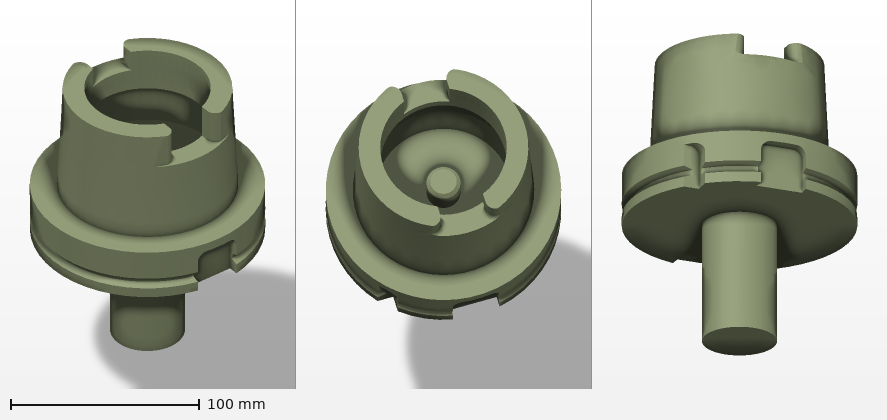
import cadquery as cq
import math

total_height = 157.9
shank_height = 66.0
flange_height = 29.0
flange_top = shank_height + flange_height

shank_diameter = 40.0
flange_diameter = 124.9
flange_radius = flange_diameter / 2

taper_base_radius = 48.2
taper_top_radius = 45.0

groove_diameter = 117.2
groove_top_depth = 17.0
groove_bottom_depth = 23.4
groove_flank_height = 1.6

bore_diameter = 67.1
bore_lip_height = 24.6
undercut_diameter = 80.0
bore_depth = 65.7
floor_cone_width = 4.0
floor_cone_height = 15.8

boss_diameter = 18.0
boss_top_diameter = 14.0
boss_height = 15.8

drive_slot_width = 25.1
drive_flat_offset = 41.2
drive_corner_radius = 5.2
shallow_slot_depth = 12.0
flat_half_length = 25.6
deep_flat_end_offset = 38.4
deep_slot_depth = 19.0
shallow_floor_fillet = 2.4

key_slot_width = 25.7
key_slot_floor = 55.5
key_corner_radius = 5.5
key_slot_top = flange_top - 5.0
index_floor = 39.6
index_wall = 39.6


def revolved_body():
    flank_outer_top = flange_top - groove_top_depth
    flank_outer_bottom = flange_top - groove_bottom_depth
    return (
        cq.Workplane("XZ")
        .lineTo(shank_diameter / 2, 0)
        .lineTo(shank_diameter / 2, shank_height)
        .lineTo(flange_radius, shank_height)
        .lineTo(flange_radius, flank_outer_bottom)
        .lineTo(groove_diameter / 2, flank_outer_bottom + groove_flank_height)
        .lineTo(groove_diameter / 2, flank_outer_top - groove_flank_height)
        .lineTo(flange_radius, flank_outer_top)
        .lineTo(flange_radius, flange_top)
        .lineTo(taper_base_radius, flange_top)
        .lineTo(taper_top_radius, total_height)
        .lineTo(0, total_height)
        .close()
        .revolve(360, (0, 0, 0), (0, 1, 0))
    )


def stepped_bore():
    """Bore space around the central boss."""
    floor = total_height - bore_depth
    boss_top = floor + boss_height
    boss_chamfer = (boss_diameter - boss_top_diameter) / 2
    lip_bottom = total_height - bore_lip_height
    return (
        cq.Workplane("XZ")
        .moveTo(boss_diameter / 2, floor)
        .lineTo(undercut_diameter / 2 - floor_cone_width, floor)
        .lineTo(undercut_diameter / 2, floor + floor_cone_height)
        .lineTo(undercut_diameter / 2, lip_bottom)
        .lineTo(bore_diameter / 2, lip_bottom)
        .lineTo(bore_diameter / 2, total_height)
        .lineTo(0, total_height)
        .lineTo(0, boss_top)
        .lineTo(boss_top_diameter / 2, boss_top)
        .lineTo(boss_diameter / 2, boss_top - boss_chamfer)
        .close()
        .revolve(360, (0, 0, 0), (0, 1, 0))
    )


def drive_slot(depth, flat_end_offset, floor_fillet=0):
    """Slot opening toward +X, flaring around rounded corners into a flat on the taper."""
    half_width = drive_slot_width / 2
    flare_start = drive_flat_offset - drive_corner_radius
    flare_half_width = half_width + drive_corner_radius
    arc_inset = drive_corner_radius * (1 - math.sqrt(0.5))
    arc_mid = (drive_flat_offset - arc_inset, half_width + arc_inset)
    floor = total_height - depth
    flare = (
        cq.Workplane("XY", origin=(0, 0, floor))
        .moveTo(0, -half_width)
        .lineTo(flare_start, -half_width)
        .threePointArc((arc_mid[0], -arc_mid[1]), (drive_flat_offset, -flare_half_width))
        .lineTo(flat_end_offset, -flat_half_length)
        .lineTo(flange_radius, -flat_half_length)
        .lineTo(flange_radius, flat_half_length)
        .lineTo(flat_end_offset, flat_half_length)
        .lineTo(drive_flat_offset, flare_half_width)
        .threePointArc(arc_mid, (flare_start, half_width))
        .lineTo(0, half_width)
        .close()
        .extrude(depth)
    )
    if floor_fillet:
        flare = flare.faces("<Z").edges().fillet(floor_fillet)
    channel = cq.Workplane("XY", origin=(0, 0, floor)).box(
        flange_radius, drive_slot_width, depth, centered=(False, True, False)
    )
    return flare.union(channel)


def key_slot():
    """Slot in the flange at +X, open downward with rounded upper corners."""
    height = key_slot_top - shank_height
    return (
        cq.Workplane("XY", origin=(key_slot_floor, 0, shank_height))
        .box(flange_radius, key_slot_width, height, centered=(False, True, False))
        .edges("|X and >Z")
        .fillet(key_corner_radius)
    )


def index_notch():
    """Corner notch in the flange toward -X and +Y."""
    height = key_slot_top - shank_height
    return (
        cq.Workplane("XY", origin=(-index_floor - flange_radius, index_wall, shank_height))
        .box(flange_radius, flange_radius, height, centered=False)
        .edges("|X and >Z and <Y")
        .fillet(key_corner_radius)
    )


def turned_to_minus_x(feature):
    return feature.rotate((0, 0, 0), (0, 0, 1), 180)


result = (
    revolved_body()
    .cut(stepped_bore())
    .cut(drive_slot(deep_slot_depth, deep_flat_end_offset))
    .cut(turned_to_minus_x(drive_slot(shallow_slot_depth, drive_flat_offset, shallow_floor_fillet)))
    .cut(key_slot())
    .cut(turned_to_minus_x(key_slot()))
    .cut(index_notch())
)